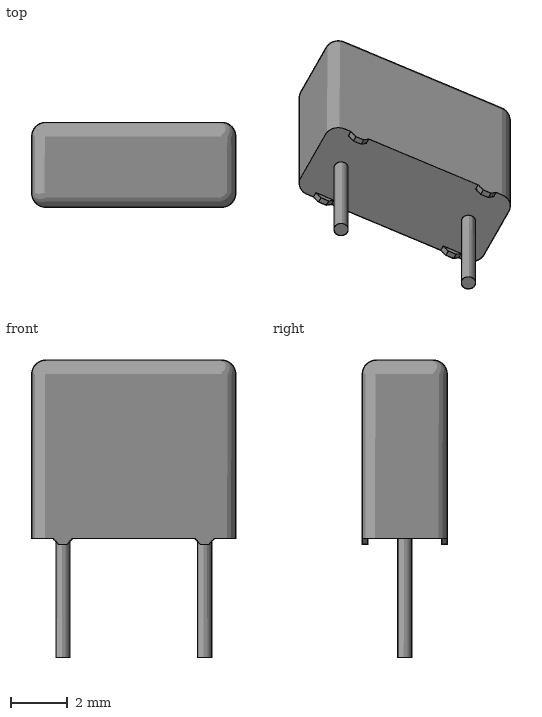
import cadquery as cq

case_length = 7.2
case_width = 3.0
case_height = 6.3
edge_radius = 0.5

lead_diameter = 0.5
lead_length = 4.2
lead_spacing = 5.0

foot_top_width = 0.7
foot_height = 0.2
foot_bottom_width = foot_top_width - 2 * foot_height
foot_depth = 0.2

lead_positions = [-lead_spacing / 2, lead_spacing / 2]


def make_foot(x, front_y):
    """One standoff foot: a trapezoid narrowing downwards, extruded along +Y from front_y."""
    outline = [
        (x - foot_top_width / 2, 0),
        (x + foot_top_width / 2, 0),
        (x + foot_bottom_width / 2, -foot_height),
        (x - foot_bottom_width / 2, -foot_height),
    ]
    return (
        cq.Workplane("XZ", origin=(0, front_y, 0))
        .polyline(outline)
        .close()
        .extrude(-foot_depth)
    )


def make_case():
    """Block with rounded upright and top edges, a flat underside and four feet."""
    body = (
        cq.Workplane("XY")
        .box(case_length, case_width, case_height, centered=(True, True, False))
        .edges("|Z or >Z")
        .fillet(edge_radius)
    )
    for x in lead_positions:
        for front_y in (-case_width / 2, case_width / 2 - foot_depth):
            body = body.union(make_foot(x, front_y))
    return body


def make_lead(x):
    """One round lead hanging from the underside of the case."""
    return cq.Workplane("XY").center(x, 0).circle(lead_diameter / 2).extrude(-lead_length)


case = make_case()
leads = [make_lead(x) for x in lead_positions]

result = cq.Compound.makeCompound([case.val(), *[lead.val() for lead in leads]])